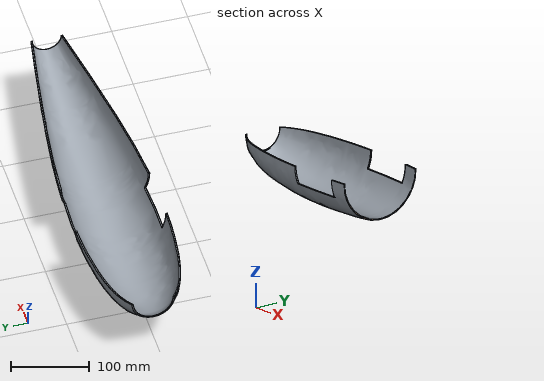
import cadquery as cq

length = 499.0
wall = 2.0
nose_radius = 28.0
belly_radius = 61.0
belly_x = 164.5
tail_radius = 21.0

notch_start = 149.5
notch_end = 226.0
notch_depth = 24.0

outer_stations = [
    (0, nose_radius),
    (21.0, 41.0),
    (45.0, 49.0),
    (90.5, 57.0),
    (belly_x, belly_radius),
    (237.0, 58.5),
    (333.0, 48.0),
    (429.5, 33.0),
    (length, tail_radius),
]


def half_body(inset):
    """Solid lower half of the streamlined body, shrunk radially by inset."""
    points = [(x, radius - inset) for x, radius in outer_stations]
    profile = (
        cq.Workplane("XY")
        .moveTo(0, 0)
        .lineTo(*points[0])
        .spline(points[1:], includeCurrent=True)
        .lineTo(length, 0)
        .close()
    )
    return profile.revolve(180, (0, 0, 0), (-1, 0, 0))


def side_notch():
    """Rectangular cutter spanning the full width, hanging from the rim plane."""
    width = 4 * belly_radius
    return cq.Workplane("XY").box(
        notch_end - notch_start, width, 2 * notch_depth, centered=(False, True, True)
    ).translate((notch_start, 0, 0))


shell = half_body(0).cut(half_body(wall))
result = shell.cut(side_notch())